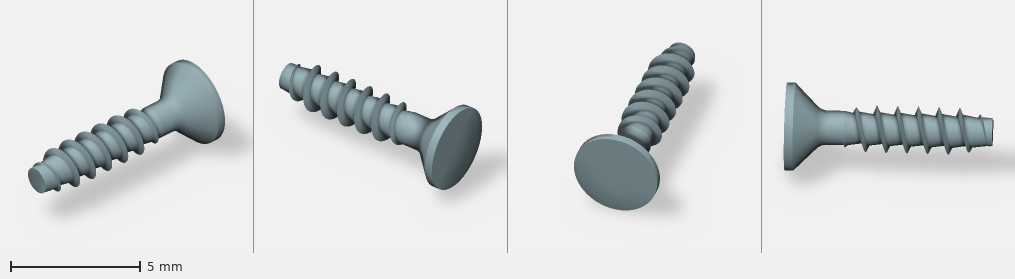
import cadquery as cq
import math


length = 8.0
head_radius = 1.7
rim_height = 0.34
shank_radius = 0.66
neck_fillet_radius = 0.56
shoulder = 2.27
countersink_end = rim_height + head_radius - shank_radius

wide_core_radius = 0.66
narrow_core_radius = 0.57
tip_radius = 0.52
dish_radius = 0.47
dish_depth = 0.04
core_blend_length = 0.45

pitch = 0.8
crest_radius = 0.91
lead_in_radius = 0.71
shoulder_flank_width = 0.12
tip_flank_width = 0.1
faded_width = 0.01
thread_angle = math.pi
thread_start = 2.19

full_depth_turn = 1.2
run_out_turn = 5.75
end_turn = 7.25
first_built_turn = -1.25
last_built_turn = 8.75
points_per_turn = 24

neck_turn = math.pi / 4
neck_tangent = neck_fillet_radius * math.tan(neck_turn / 2)
neck_centre_radius = shank_radius + neck_fillet_radius
neck_end = (shank_radius, countersink_end + neck_tangent)
neck_start = (
    neck_centre_radius - neck_fillet_radius * math.cos(neck_turn),
    neck_end[1] - neck_fillet_radius * math.sin(neck_turn),
)
neck_middle = (
    neck_centre_radius - neck_fillet_radius * math.cos(neck_turn / 2),
    neck_end[1] - neck_fillet_radius * math.sin(neck_turn / 2),
)

UPPER_ROOT, CREST, LOWER_ROOT = range(3)


def make_body():
    """Head, neck fillet, smooth shank and the blend down to the core."""
    return (
        cq.Workplane("XZ")
        .moveTo(0, 0)
        .lineTo(head_radius, 0)
        .lineTo(head_radius, rim_height)
        .lineTo(*neck_start)
        .threePointArc(neck_middle, neck_end)
        .lineTo(shank_radius, shoulder)
        .lineTo(narrow_core_radius, shoulder + core_blend_length)
        .lineTo(0, shoulder + core_blend_length)
        .close()
        .revolve(360, (0, 0), (0, 1))
    )


def blend(start, end, fraction):
    """Value part of the way from start to end."""
    return start + (end - start) * fraction


def thread_section(turn):
    """(radius, axial offset) of the upper root, the crest and the lower root of the ridge."""
    lead_in = min(max(turn / full_depth_turn, 0), 1)
    fade = min(max((turn - run_out_turn) / (end_turn - run_out_turn), 0), 1)
    crest = blend(lead_in_radius, crest_radius, lead_in)
    return [
        (blend(narrow_core_radius, tip_radius, fade), -blend(shoulder_flank_width, faded_width, fade)),
        (blend(crest, tip_radius + faded_width, fade), 0),
        (blend(wide_core_radius, tip_radius, fade), blend(tip_flank_width, faded_width, fade)),
    ]


def thread_point(turn, corner):
    """Point of the thread at a given turn, on one corner of its section."""
    radius, offset = thread_section(turn)[corner]
    angle = thread_angle + 2 * math.pi * turn
    height = thread_start + pitch * turn + offset
    return cq.Vector(radius * math.cos(angle), radius * math.sin(angle), height)


def one_turn_edge(start_turn, corner):
    """Helical edge that one corner of the section follows over a full turn."""
    return cq.Edge.makeSpline(
        [thread_point(start_turn + i / points_per_turn, corner) for i in range(points_per_turn + 1)]
    )


def end_faces(turn):
    """Helicoid and flat axial step that close the thread at one end."""
    root_edge = one_turn_edge(turn, UPPER_ROOT)
    outline = [thread_point(turn, corner) for corner in (UPPER_ROOT, CREST, LOWER_ROOT)]
    outline.append(thread_point(turn + 1, UPPER_ROOT))
    axis_start = cq.Vector(0, 0, outline[0].z)
    axis_end = cq.Vector(0, 0, outline[-1].z)
    helicoid = cq.Face.makeRuledSurface(root_edge, cq.Edge.makeLine(axis_start, axis_end))
    step = cq.Face.makeFromWires(cq.Wire.makePolygon(outline + [axis_end, axis_start], close=True))
    return [helicoid, step]


def make_thread():
    """Core and ridge as one helical skin, trimmed flat at the shoulder and at the tip."""
    faces = end_faces(first_built_turn) + end_faces(last_built_turn)
    for i in range(round(last_built_turn - first_built_turn)):
        turn = first_built_turn + i
        edges = [one_turn_edge(turn, corner) for corner in (UPPER_ROOT, CREST, LOWER_ROOT)]
        edges.append(one_turn_edge(turn + 1, UPPER_ROOT))
        faces += [cq.Face.makeRuledSurface(a, b) for a, b in zip(edges, edges[1:])]
    skin = cq.Solid.makeSolid(cq.Shell.makeShell(faces)).fix()
    thread_zone = (
        cq.Workplane("XY").workplane(offset=shoulder).circle(head_radius).extrude(length - shoulder)
    )
    return thread_zone.intersect(cq.Workplane(skin))


def make_tip_dish():
    """Ball that cuts the dish."""
    sphere_radius = (dish_radius**2 + dish_depth**2) / (2 * dish_depth)
    centre_height = length - dish_depth + sphere_radius
    return cq.Workplane("XY").sphere(sphere_radius).translate((0, 0, centre_height))


screw = make_body().union(make_thread()).cut(make_tip_dish())
result = screw.rotate((0, 0, 0), (1, 0, 0), 90)